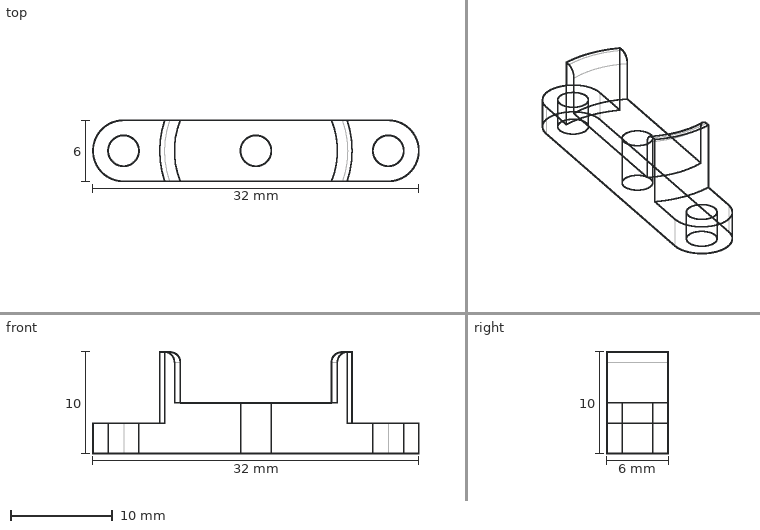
import cadquery as cq

length = 32.0
width = 6.0
base_height = 3.0

total_height = 10.0
floor_height = 5.0
cradle_outer_radius = 9.45
cradle_inner_radius = 8.0
rim_fillet = 1.0

hole_diameter = 3.0
hole_spacing = (length - width) / 2


def make_strip(height):
    """Strip with semicircular ends, standing on Z = 0."""
    return cq.Workplane("XY").slot2D(length, width).extrude(height)


def make_cradle():
    """Cup with a rounded inner rim, cut down to two curved walls and a floor."""
    cup = cq.Workplane("XY").circle(cradle_outer_radius).extrude(total_height)
    bore = (
        cq.Workplane("XY")
        .workplane(offset=floor_height)
        .circle(cradle_inner_radius)
        .extrude(total_height - floor_height)
    )
    cup = cup.cut(bore)
    inner_rim = cq.selectors.RadiusNthSelector(0)
    cup = cup.faces(">Z").edges(inner_rim).fillet(rim_fillet)
    return cup.intersect(make_strip(total_height))


def make_holes():
    """Cylinders for the row of through holes."""
    return (
        cq.Workplane("XY")
        .rarray(hole_spacing, 0.32, 3, 1)
        .circle(hole_diameter / 2)
        .extrude(total_height)
    )


result = make_strip(base_height).union(make_cradle()).cut(make_holes())